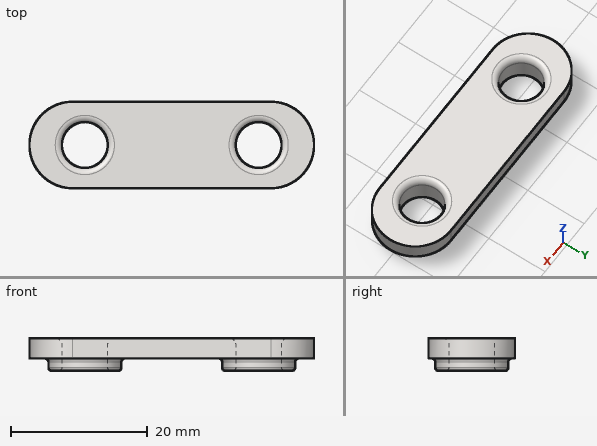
import cadquery as cq

length = 41.65
width = 12.7
thickness = 3.0
plate_edge_radius = 0.2

total_height = 4.8
boss_height = total_height - thickness
boss_diameter = 10.7
boss_spacing = 25.4
boss_root_radius = 0.5
boss_rim_radius = 0.5

hole_diameter = 6.65
hole_mouth_radius = 1.0
hole_exit_radius = 0.5

boss_centres = [(-boss_spacing / 2, 0), (boss_spacing / 2, 0)]


def make_plate():
    plate = cq.Workplane("XY").slot2D(length, width).extrude(thickness)
    return plate.faces("<Z").edges().fillet(plate_edge_radius)


def add_bosses(body):
    bosses = (
        cq.Workplane("XY")
        .pushPoints(boss_centres)
        .circle(boss_diameter / 2)
        .extrude(-boss_height)
        .faces("<Z")
        .edges()
        .fillet(boss_rim_radius)
    )
    joined = body.union(bosses)
    roots = joined.faces(cq.selectors.NearestToPointSelector((0, 0, 0))).edges("%CIRCLE")
    roots = roots.filter(lambda edge: edge.IsClosed())
    return joined.newObject(roots.vals()).fillet(boss_root_radius)


def cut_holes(body):
    drilled = (
        body.faces(">Z")
        .workplane(origin=(0, 0, thickness))
        .pushPoints(boss_centres)
        .hole(hole_diameter)
    )
    mouths = drilled.faces(">Z").edges("%CIRCLE").filter(lambda edge: edge.IsClosed())
    rounded = drilled.newObject(mouths.vals()).fillet(hole_mouth_radius)
    exits = rounded.faces("<Z").edges(cq.selectors.RadiusNthSelector(0))
    return rounded.newObject(exits.vals()).fillet(hole_exit_radius)


result = cut_holes(add_bosses(make_plate()))